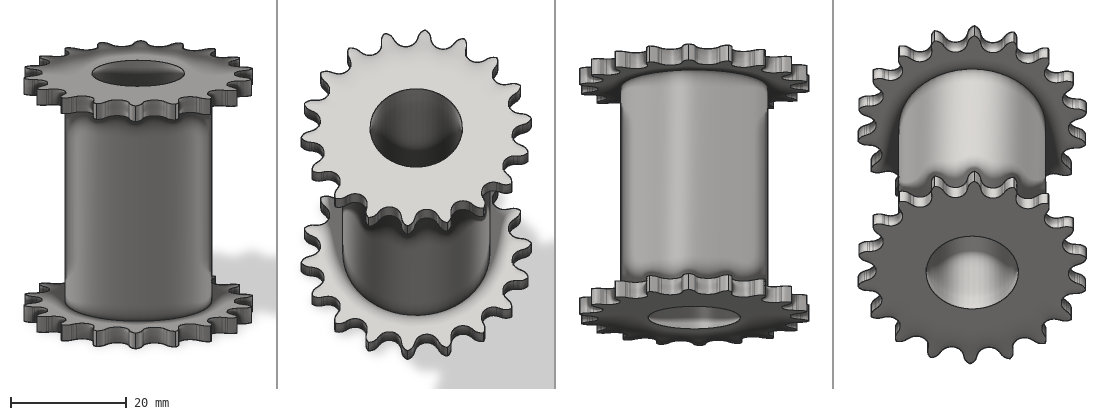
import cadquery as cq
import math


total_length = 43.7
sprocket_thickness = 2.85

hub_diameter = 25.4
bore_diameter = 15.9

tooth_count = 18
tip_diameter = 39.9
seat_circle_diameter = 37.3
seat_radius = 2.05
flank_radius = 4.75
flank_length = 0.3
seat_half_angle = 60.0
flank_angle = 8.0

half_pitch_angle = math.radians(180 / tooth_count)


def around(center, radius, angle):
    """Point at a radius and angle (radians) from a center."""
    return (center[0] + radius * math.cos(angle), center[1] + radius * math.sin(angle))


def rotated(point, angle):
    """Point turned about the sprocket axis."""
    x, y = point
    return (
        x * math.cos(angle) - y * math.sin(angle),
        x * math.sin(angle) + y * math.cos(angle),
    )


def mirrored(point):
    """Point reflected across the X axis."""
    return (point[0], -point[1])


def flank_points():
    """Upper side of a gap centred on +X, from the seat out to the tooth tip."""
    seat_center = (seat_circle_diameter / 2, 0)
    seat_end_angle = math.pi - math.radians(seat_half_angle)
    mid_angle = seat_end_angle - math.radians(flank_angle / 2)
    end_angle = seat_end_angle - math.radians(flank_angle)
    flank_center = around(seat_center, seat_radius - flank_radius, seat_end_angle)

    seat_end = around(seat_center, seat_radius, seat_end_angle)
    hollow_mid = around(flank_center, flank_radius, mid_angle)
    hollow_end = around(flank_center, flank_radius, end_angle)
    straight_end = around(hollow_end, flank_length, end_angle - math.pi / 2)
    tip = around((0, 0), tip_diameter / 2, half_pitch_angle)

    chord = (tip[0] - straight_end[0], tip[1] - straight_end[1])
    chord_length = math.hypot(*chord)
    chord_angle = math.atan2(chord[1], chord[0])
    half_turn = chord_angle - (end_angle - math.pi / 2)
    half_arc_chord = chord_length / 2 / math.cos(half_turn / 2)
    tip_arc_mid = around(straight_end, half_arc_chord, chord_angle - half_turn / 2)
    return seat_end, hollow_mid, hollow_end, straight_end, tip_arc_mid, tip


def sprocket():
    """Toothed disc resting on the XY plane, with a tooth pointing along +X."""
    flank = flank_points()
    seat_bottom = (seat_circle_diameter / 2 - seat_radius, 0)
    first_tip = rotated(mirrored(flank[-1]), half_pitch_angle)
    outline = cq.Workplane("XY").moveTo(*first_tip)
    for gap in range(tooth_count):
        turn = (2 * gap + 1) * half_pitch_angle
        seat_end, hollow_mid, hollow_end, straight_end, tip_arc_mid, tip = (
            rotated(point, turn) for point in flank
        )
        low_seat_end, low_hollow_mid, low_hollow_end, low_straight_end, low_tip_arc_mid, _ = (
            rotated(mirrored(point), turn) for point in flank
        )
        outline = (
            outline.threePointArc(low_tip_arc_mid, low_straight_end)
            .lineTo(*low_hollow_end)
            .threePointArc(low_hollow_mid, low_seat_end)
            .threePointArc(rotated(seat_bottom, turn), seat_end)
            .threePointArc(hollow_mid, hollow_end)
            .lineTo(*straight_end)
            .threePointArc(tip_arc_mid, tip)
        )
    return outline.close().extrude(sprocket_thickness)


lower_sprocket = sprocket()
upper_sprocket = lower_sprocket.translate((0, 0, total_length - sprocket_thickness))
hub = cq.Workplane("XY").circle(hub_diameter / 2).extrude(total_length)
bore = cq.Workplane("XY").circle(bore_diameter / 2).extrude(total_length)

result = hub.union(lower_sprocket).union(upper_sprocket).cut(bore)